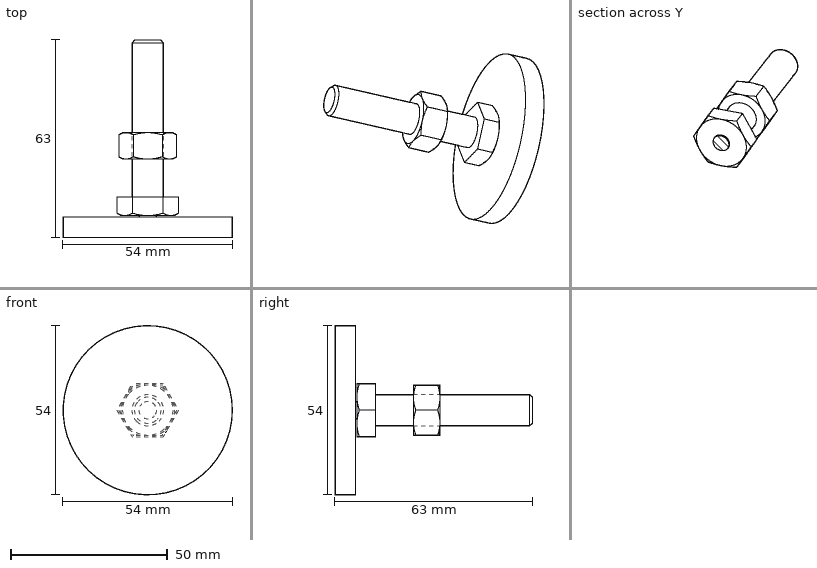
import cadquery as cq
import math

overall_length = 63.0

foot_diameter = 54.0
foot_thickness = 6.55

neck_diameter = 5.55
neck_length = 0.45
head_across_flats = 17.0
head_height = 6.0
shank_diameter = 10.0
tip_chamfer_length = 1.0
tip_chamfer_depth = 0.8

nut_across_flats = 16.0
nut_height = 8.45
nut_clearance_above_head = 12.05

corner_chamfer_angle = 30.0

foot_bottom = -overall_length / 2
foot_top = foot_bottom + foot_thickness
head_bottom = foot_top + neck_length
head_top = head_bottom + head_height
nut_bottom = head_top + nut_clearance_above_head
tip_end = foot_bottom + overall_length


def cylinder(diameter, start, end):
    """Round bar along Y from start to end."""
    plane = cq.Workplane("XZ", origin=(0, start, 0))
    return plane.circle(diameter / 2).extrude(start - end)


def corner_cone(across_flats, start, height, chamfer_top):
    """Turned envelope that bevels hexagon corners, with end circles touching the flats."""
    flat_radius = across_flats / 2
    corner_radius = flat_radius / math.cos(math.radians(30))
    bevel = (corner_radius - flat_radius) * math.tan(math.radians(corner_chamfer_angle))
    end = start + height
    profile = [(0, start), (flat_radius, start), (corner_radius, start + bevel)]
    if chamfer_top:
        profile += [(corner_radius, end - bevel), (flat_radius, end)]
    else:
        profile += [(corner_radius, end)]
    profile += [(0, end)]
    return cq.Workplane("XY").polyline(profile).close().revolve(360, (0, 0), (0, 1))


def hexagon(across_flats, start, height, chamfer_top):
    """Hexagonal prism along Y with corners at +X and -X and bevelled corners."""
    corner_diameter = across_flats / math.cos(math.radians(30))
    plane = cq.Workplane("XZ", origin=(0, start, 0))
    prism = plane.polygon(6, corner_diameter).extrude(-height)
    return prism.intersect(corner_cone(across_flats, start, height, chamfer_top))


def make_foot():
    return cylinder(foot_diameter, foot_bottom, foot_top)


def make_shank():
    """Shank above the head, with a chamfered free end."""
    radius = shank_diameter / 2
    profile = [
        (0, head_top),
        (radius, head_top),
        (radius, tip_end - tip_chamfer_length),
        (radius - tip_chamfer_depth, tip_end),
        (0, tip_end),
    ]
    return cq.Workplane("XY").polyline(profile).close().revolve(360, (0, 0), (0, 1))


def make_stud():
    neck = cylinder(neck_diameter, foot_top, head_bottom)
    head = hexagon(head_across_flats, head_bottom, head_height, chamfer_top=False)
    return neck.union(head).union(make_shank())


def make_nut():
    blank = hexagon(nut_across_flats, nut_bottom, nut_height, chamfer_top=True)
    bore = cylinder(shank_diameter, nut_bottom, nut_bottom + nut_height)
    return blank.cut(bore)


foot = make_foot()
stud = make_stud()
nut = make_nut()

result = cq.Compound.makeCompound([foot.val(), stud.val(), nut.val()])